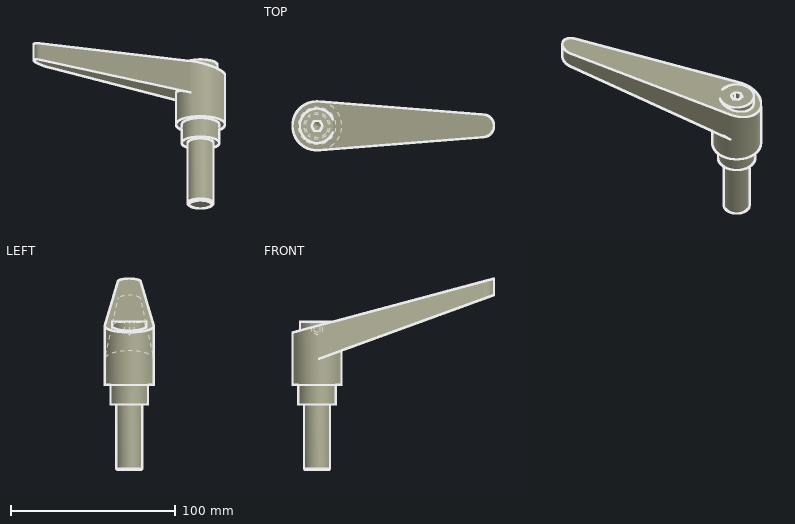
import cadquery as cq
import math

stud_diameter = 16.0
stud_length = 40.0
stud_chamfer = 1.0

sleeve_diameter = 23.0
sleeve_length = 12.0

hub_radius = 15.0
hub_base_z = stud_length + sleeve_length

tip_radius = 7.0
tip_reach = 108.0
tip_center_x = tip_reach - tip_radius
top_slope = math.radians(15)
underside_slope = math.radians(20)
top_height_on_axis = 36.0
underside_height_on_axis = 15.5

head_diameter = 21.0
head_height_above_hub_base = 38.6
head_top_z = hub_base_z + head_height_above_hub_base

hex_across_flats = 6.0
hex_depth = 6.0
drill_point_angle = math.radians(120)

clearance_height = top_height_on_axis + tip_reach


def top_z(x):
    return hub_base_z + top_height_on_axis + x * math.tan(top_slope)


def underside_z(x):
    return hub_base_z + underside_height_on_axis + x * math.tan(underside_slope)


def cylinder(diameter, bottom_z, height):
    return cq.Workplane("XY").workplane(offset=bottom_z).circle(diameter / 2).extrude(height)


def side_profile(points):
    """Extrude an XZ outline right through the width of the hub."""
    return cq.Workplane("XZ").polyline(points).close().extrude(hub_radius * 2, both=True)


def make_stud():
    stud = cylinder(stud_diameter, 0, hub_base_z)
    return stud.faces("<Z").chamfer(stud_chamfer)


def make_arm():
    """Plan outline of two arcs joined by their common tangents, cut to the two slopes."""
    taper_sine = (hub_radius - tip_radius) / tip_center_x
    taper_cosine = math.sqrt(1 - taper_sine**2)
    hub_x = hub_radius * taper_sine
    hub_y = hub_radius * taper_cosine
    tip_x = tip_center_x + tip_radius * taper_sine
    tip_y = tip_radius * taper_cosine
    plan = (
        cq.Workplane("XY")
        .workplane(offset=hub_base_z)
        .moveTo(hub_x, hub_y)
        .threePointArc((-hub_radius, 0), (hub_x, -hub_y))
        .lineTo(tip_x, -tip_y)
        .threePointArc((tip_reach, 0), (tip_x, tip_y))
        .close()
        .extrude(clearance_height)
    )
    band = side_profile([
        (hub_x, underside_z(hub_x)),
        (tip_reach, underside_z(tip_reach)),
        (tip_reach, top_z(tip_reach)),
        (hub_x, top_z(hub_x)),
    ])
    return plan.intersect(band)


def make_hub():
    """Cylinder whose upper end follows the sloped top of the lever."""
    envelope = side_profile([
        (-hub_radius, hub_base_z),
        (hub_radius, hub_base_z),
        (hub_radius, top_z(hub_radius)),
        (-hub_radius, top_z(-hub_radius)),
    ])
    return cylinder(2 * hub_radius, hub_base_z, clearance_height).intersect(envelope)


def make_socket():
    """Hexagonal prism, corners on the X axis, ending in a cone below its full depth."""
    corner_radius = hex_across_flats / math.sqrt(3)
    point_depth = corner_radius / math.tan(drill_point_angle / 2)
    prism = (
        cq.Workplane("XY")
        .workplane(offset=head_top_z)
        .polygon(6, 2 * corner_radius)
        .extrude(-(hex_depth + point_depth))
    )
    drill = (
        cq.Workplane("XZ")
        .moveTo(0, head_top_z)
        .lineTo(corner_radius, head_top_z)
        .lineTo(corner_radius, head_top_z - hex_depth)
        .lineTo(0, head_top_z - hex_depth - point_depth)
        .close()
        .revolve(360, (0, 0, 0), (0, 1, 0))
    )
    return prism.intersect(drill)


sleeve = cylinder(sleeve_diameter, stud_length, sleeve_length)
head = cylinder(head_diameter, hub_base_z, head_height_above_hub_base)

result = make_stud().union(sleeve).union(make_hub()).union(make_arm()).union(head).cut(make_socket())